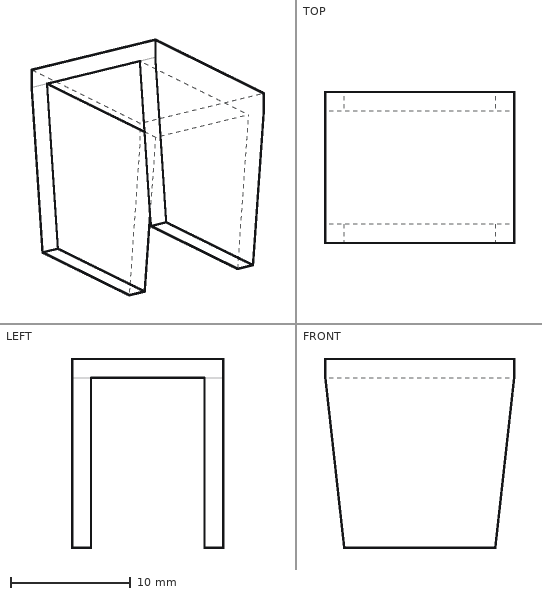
import cadquery as cq

top_width = 15.875
depth = 12.7
height = 15.875

wall = 1.5875
foot_width = 12.7


def tapered_block():
    """Full-depth block: straight-sided at the top plate, then tapering to the feet."""
    half_top = top_width / 2
    half_foot = foot_width / 2
    plate_underside = height / 2 - wall
    outline = [
        (-half_top, height / 2),
        (half_top, height / 2),
        (half_top, plate_underside),
        (half_foot, -height / 2),
        (-half_foot, -height / 2),
        (-half_top, plate_underside),
    ]
    return cq.Workplane("XZ").polyline(outline).close().extrude(depth / 2, both=True)


def channel():
    """Opening between the two legs, running through along X below the top plate."""
    return cq.Workplane("XY").box(top_width, depth - 2 * wall, height).translate((0, 0, -wall))


result = tapered_block().cut(channel())